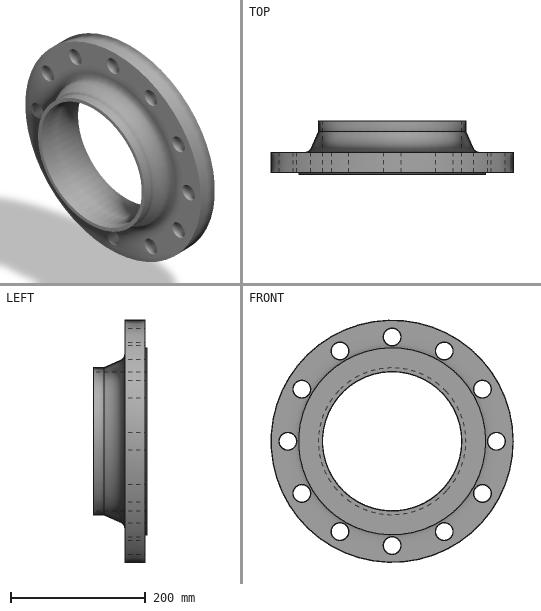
import cadquery as cq

flange_diameter = 360.0
total_length = 80.0
face_diameter = 278.0
face_height = 3.0
flange_thickness = 30.2
bore_diameter = 206.5
neck_diameter = 219.0
neck_length = 16.0
hub_diameter = 246.2
hub_fillet = 10.0

bolt_count = 12
bolt_circle_diameter = 310.0
bolt_hole_diameter = 26.0

flange_back = face_height + flange_thickness
neck_start = total_length - neck_length


def flange_body():
    """Revolve the raised face, flange plate and tapered welding neck around Y."""
    profile = (
        cq.Workplane("XY")
        .moveTo(bore_diameter / 2, 0)
        .lineTo(face_diameter / 2, 0)
        .lineTo(face_diameter / 2, face_height)
        .lineTo(flange_diameter / 2, face_height)
        .lineTo(flange_diameter / 2, flange_back)
        .lineTo(hub_diameter / 2, flange_back)
        .lineTo(neck_diameter / 2, neck_start)
        .lineTo(neck_diameter / 2, total_length)
        .lineTo(bore_diameter / 2, total_length)
        .close()
    )
    body = profile.revolve(360, (0, 0, 0), (0, 1, 0))
    hub_root = cq.selectors.BoxSelector(
        (-hub_diameter, flange_back - hub_fillet / 4, -hub_diameter),
        (hub_diameter, flange_back + hub_fillet / 4, hub_diameter),
    )
    root_edges = body.edges(hub_root).edges(cq.selectors.RadiusNthSelector(0))
    return root_edges.fillet(hub_fillet)


def bolt_holes():
    """Through holes evenly spaced on the bolt circle, one of them on the X axis."""
    return (
        cq.Workplane("XZ")
        .polarArray(bolt_circle_diameter / 2, 0, 360, bolt_count)
        .circle(bolt_hole_diameter / 2)
        .extrude(-total_length)
    )


result = flange_body().cut(bolt_holes())